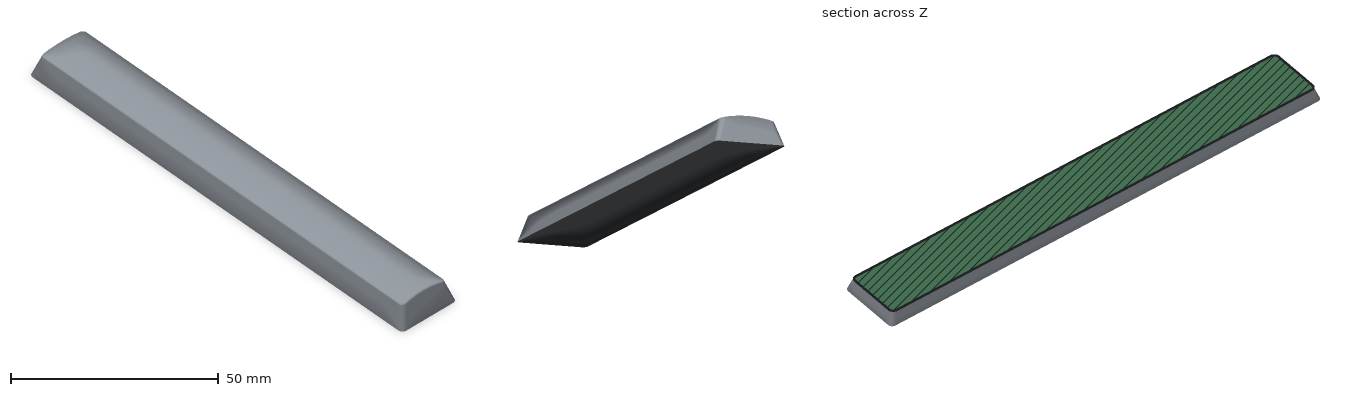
import cadquery as cq

length = 132.3
width = 18.0
height = 7.1

draft_angle = 17.5

crown_drop = 1.6

corner_radius = 1.3
top_edge_radius = 0.5


def tapered_block():
    """Rectangular block whose four walls lean inward."""
    return cq.Workplane("XY").rect(length, width).extrude(height, taper=draft_angle)


def crown_envelope():
    """Full-length bar with an arched top, used to trim the block."""
    shoulder = height - crown_drop
    half_width = width / 2
    return (
        cq.Workplane("YZ")
        .moveTo(-half_width, 0)
        .lineTo(half_width, 0)
        .lineTo(half_width, shoulder)
        .threePointArc((0, height), (-half_width, shoulder))
        .close()
        .extrude(length / 2, both=True)
    )


body = tapered_block()

body = body.edges("not (|X or |Y)").fillet(corner_radius)

body = body.intersect(crown_envelope())
result = body.faces(">Z").edges().fillet(top_edge_radius)